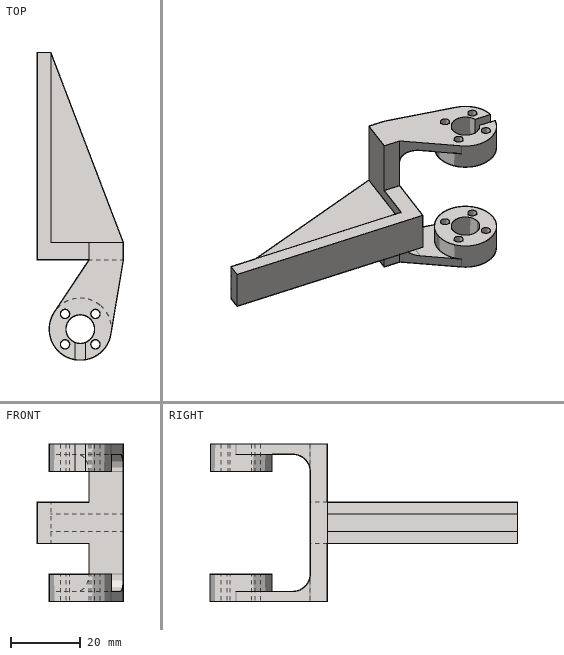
import cadquery as cq
import math

boss_radius = 9.0
boss_height = 8.0
bore_radius = 4.1
boss_x = 12.5
screw_hole_radius = 1.3
screw_spacing = 8.8
slot_width = 3.0

fork_height = 45.6
upright_left = 15.0
upright_right = 25.0
upright_front = 20.0
upright_thickness = 5.0
arm_thickness = 3.0
corner_radius = 5.0

lever_height = 12.0
lever_end = 80.0
bar_width = 4.0
web_height = 5.0

upright_back = upright_front + upright_thickness
half_height = fork_height / 2


def tangent_point(point_x, point_y, side):
    """Point where a line from the given point touches the boss; side is +1 for its right, -1 for its left."""
    dx = point_x - boss_x
    distance = math.hypot(dx, point_y)
    angle = math.atan2(point_y, dx) - side * math.acos(boss_radius / distance)
    return boss_x + boss_radius * math.cos(angle), boss_radius * math.sin(angle)


def box(x_min, x_max, y_min, y_max, z_min, z_max):
    return cq.Workplane("XY").box(
        x_max - x_min, y_max - y_min, z_max - z_min, centered=False
    ).translate((x_min, y_min, z_min))


def make_fork():
    """C-shaped profile in YZ, trimmed to the tapering outline of the arms."""
    outline = (
        cq.Workplane("XY", origin=(0, 0, -half_height))
        .moveTo(upright_left, upright_back)
        .lineTo(upright_left, upright_front)
        .lineTo(*tangent_point(upright_left, upright_front, -1))
        .threePointArc((boss_x, -boss_radius), tangent_point(upright_right, upright_front, 1))
        .lineTo(upright_right, upright_front)
        .lineTo(upright_right, upright_back)
        .close()
        .extrude(fork_height)
    )
    gap_half = half_height - arm_thickness
    gap = (
        box(0, upright_right, -boss_radius, upright_front, -gap_half, gap_half)
        .edges("|X and >Y")
        .fillet(corner_radius)
    )
    return outline.cut(gap)


def make_bosses():
    boss = cq.Workplane("XY").center(boss_x, 0).circle(boss_radius).extrude(boss_height)
    lower = boss.translate((0, 0, -half_height))
    upper = boss.translate((0, 0, half_height - boss_height))
    return lower.union(upper)


def make_lever():
    half_lever = lever_height / 2
    long_bar = box(0, bar_width, upright_front, lever_end, -half_lever, half_lever)
    cross_bar = box(0, upright_right, upright_front, upright_back, -half_lever, half_lever)
    web = (
        cq.Workplane("XY", origin=(0, 0, -web_height / 2))
        .moveTo(bar_width, upright_back)
        .lineTo(upright_right, upright_back)
        .lineTo(bar_width, lever_end)
        .close()
        .extrude(web_height)
    )
    return long_bar.union(cross_bar).union(web)


def make_holes():
    """Bore and four screw holes through both bosses."""
    plane = cq.Workplane("XY", origin=(boss_x, 0, -half_height))
    bore = plane.circle(bore_radius).extrude(fork_height)
    screws = plane.rect(screw_spacing, screw_spacing, forConstruction=True).vertices()
    return bore.union(screws.circle(screw_hole_radius).extrude(fork_height))


def make_slot():
    """Slot from the bore out through the front of the upper boss."""
    half_slot = slot_width / 2
    return box(
        boss_x - half_slot, boss_x + half_slot, -boss_radius, 0, half_height - boss_height, half_height
    )


result = make_fork().union(make_bosses()).union(make_lever()).cut(make_holes()).cut(make_slot())